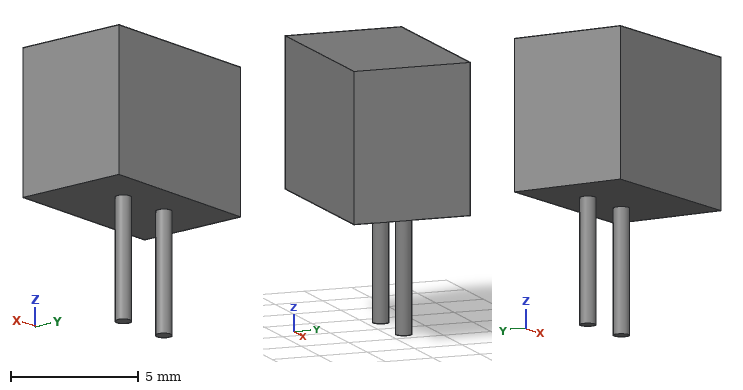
import cadquery as cq

total_height = 11.25
body_length = 7.5
body_width = 4.9
lead_length = 5.1
body_height = total_height - lead_length

lead_diameter = 0.65
lead_pitch = 2.5
lead_row_offset = 0.61


def make_housing():
    """Plain rectangular block with its underside at Z = 0."""
    return cq.Workplane("XY").box(body_length, body_width, body_height, centered=(True, True, False))


def make_lead(x):
    """Round lead that hangs from the underside of the housing."""
    return cq.Workplane("XY").center(x, lead_row_offset).circle(lead_diameter / 2).extrude(-lead_length)


housing = make_housing()

leads = []
for side in (-1, 1):
    leads.append(make_lead(side * lead_pitch / 2))

result = cq.Compound.makeCompound([housing.val(), *[lead.val() for lead in leads]])